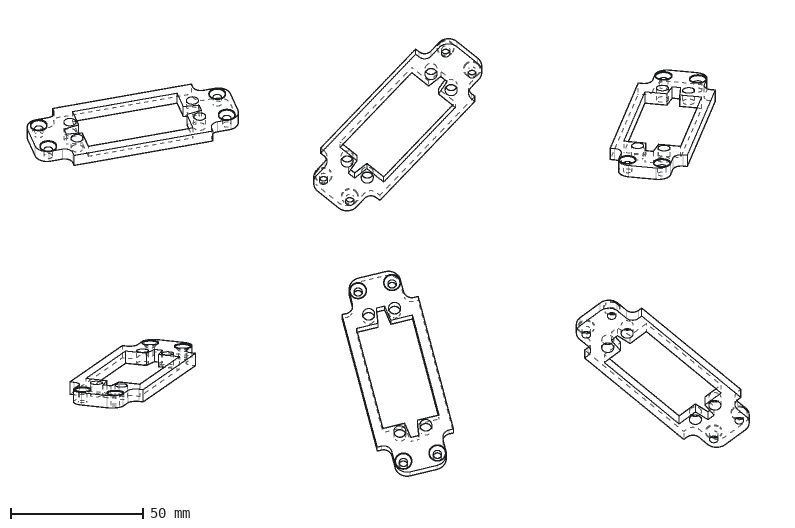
import cadquery as cq

length = 79.7
body_width = 29.7
thickness = 4.9

body_length = 54.5
tab_width = 19.9
tab_blank_width = 20.0
tab_corner_radius = 4.8
neck_radius = 3.2

window_width = 21.8
window_length = 41.05
notch_mouth_width = 4.95
notch_tip_width = 3.2
notch_span = 53.1

plain_hole_diameter = 4.55
plain_hole_spacing_x = 10.1
plain_hole_spacing_y = 48.1
plain_hole_shift_y = 0.8

screw_hole_diameter = 3.2
screw_hole_spacing_x = 13.2
screw_hole_spacing_y = 70.05
recess_diameter = 6.4
recess_depth = 0.3
cone_diameter = 6.0
cone_depth = (cone_diameter - screw_hole_diameter) / 2


def make_plate():
    """Flat plate with rounded tab corners and concave necks; its base is at Z = 0."""
    body = cq.Workplane("XY").rect(body_width, body_length).extrude(thickness)
    rounded_blank = (
        cq.Workplane("XY")
        .rect(tab_blank_width, length)
        .extrude(thickness)
        .edges("|Z")
        .fillet(tab_corner_radius)
    )
    tabs = cq.Workplane("XY").rect(tab_width, length).extrude(thickness).intersect(rounded_blank)
    neck_margin = neck_radius / 2
    neck_region = cq.selectors.BoxSelector(
        (-tab_width / 2 - neck_margin, -body_length / 2 - neck_margin, 0),
        (tab_width / 2 + neck_margin, body_length / 2 + neck_margin, thickness),
    )
    return body.union(tabs).edges("|Z").edges(neck_region).fillet(neck_radius)


def make_window():
    """Rectangular opening joined to the tapered notches at both ends."""
    window = cq.Workplane("XY").rect(window_width, window_length).extrude(thickness)
    for end in (-1, 1):
        mouth_y = end * window_length / 2
        tip_y = end * notch_span / 2
        notch = (
            cq.Workplane("XY")
            .moveTo(-notch_mouth_width / 2, mouth_y)
            .lineTo(-notch_tip_width / 2, tip_y)
            .lineTo(notch_tip_width / 2, tip_y)
            .lineTo(notch_mouth_width / 2, mouth_y)
            .close()
            .extrude(thickness)
        )
        window = window.union(notch)
    return window


def make_plain_holes():
    """Four cylinders that pass through the plate."""
    return (
        cq.Workplane("XY")
        .center(0, plain_hole_shift_y)
        .rect(plain_hole_spacing_x, plain_hole_spacing_y, forConstruction=True)
        .vertices()
        .circle(plain_hole_diameter / 2)
        .extrude(thickness)
    )


def make_screw_holes():
    """Four through holes, each with a conical seat below a shallow round recess."""
    recess_z = thickness - recess_depth
    cone_z = recess_z - cone_depth
    profile = (
        cq.Workplane("XZ")
        .moveTo(0, 0)
        .lineTo(screw_hole_diameter / 2, 0)
        .lineTo(screw_hole_diameter / 2, cone_z)
        .lineTo(cone_diameter / 2, recess_z)
        .lineTo(recess_diameter / 2, recess_z)
        .lineTo(recess_diameter / 2, thickness)
        .lineTo(0, thickness)
        .close()
    )
    cutter = profile.revolve(360, (0, 0, 0), (0, 1, 0)).val()
    return (
        cq.Workplane("XY")
        .rect(screw_hole_spacing_x, screw_hole_spacing_y, forConstruction=True)
        .vertices()
        .eachpoint(lambda place: cutter.moved(place), combine=False)
    )


result = (
    make_plate()
    .cut(make_window())
    .cut(make_plain_holes())
    .cut(make_screw_holes())
)